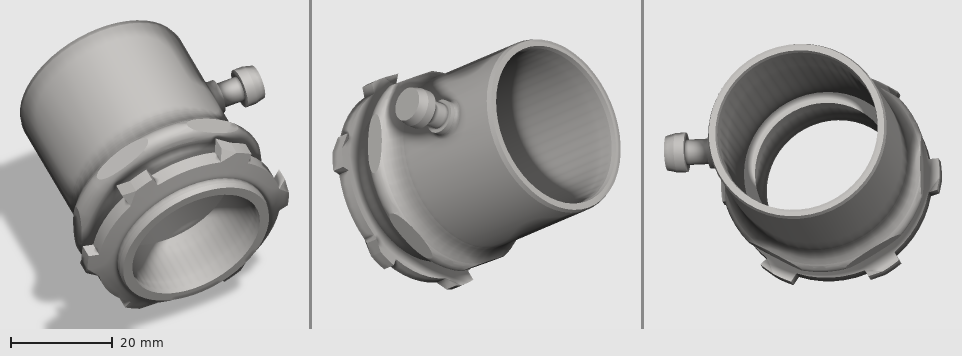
import cadquery as cq
import math


total_length = 44.5
sleeve_radius = 35.6 / 2
neck_radius = 32.2 / 2
bore_radius = 27.6 / 2
socket_radius = 32.0 / 2
end_chamfer_length = 1.0
end_chamfer_height = 0.3
mouth_chamfer_height = 0.2

bead_x = 31.15
bead_radius = 20.5
bead_round = 2.4
bead_across_flats = 39.0
flat_count = 6
flare_start_x = 24.75
flare_straight = 0.35
neck_fillet = 1.05
socket_depth = bead_x

nut_radius = 19.8
tooth_radius = 21.8
tooth_width = 6.8
tooth_count = 6
tooth_pitch_angle = 360 / tooth_count
nut_thickness = 2.78
nut_back_x = 42.2
dish_slope = 0.24
fold_start = 0.5
fold_height = 1.3

pin_x = 12.8
pin_tip_y = 28.1
pin_head_taper = 2.0
pin_head_length = 4.0
pin_collar_y = 19.5
pin_stem_radius = 5.0 / 2
pin_head_radius = 7.8 / 2
pin_collar_radius = 6.8 / 2
pin_fillet = 0.75


def point_on_arc(center, radius, degrees):
    angle = math.radians(degrees)
    return (center[0] + radius * math.cos(angle), center[1] + radius * math.sin(angle))


def revolve_about_x(profile):
    return profile.close().revolve(360, (0, 0, 0), (1, 0, 0))


def make_shell():
    """Solid outer form of the sleeve, the flare, the bead and the neck."""
    bead_center = (bead_x, bead_radius - bead_round)

    run = bead_x - flare_start_x
    drop = bead_center[1] - sleeve_radius
    reach_squared = run**2 + drop**2 - bead_round**2 - flare_straight**2
    flare_radius = reach_squared / (2 * (bead_round + drop))
    flare_center = (flare_start_x, sleeve_radius + flare_radius)
    center_line_angle = math.atan2(flare_center[1] - bead_center[1], -run)
    straight_angle = math.atan2(flare_straight, flare_radius + bead_round)
    tangent_angle = math.degrees(center_line_angle - straight_angle)
    flare_end_angle = tangent_angle - 180
    flare_middle = point_on_arc(flare_center, flare_radius, (flare_end_angle - 90) / 2)
    flare_end = point_on_arc(flare_center, flare_radius, flare_end_angle)
    bead_start = point_on_arc(bead_center, bead_round, tangent_angle)
    bead_middle = point_on_arc(bead_center, bead_round, tangent_angle / 2)
    bead_end = point_on_arc(bead_center, bead_round, 0)

    fillet_center = (bead_end[0] + neck_fillet, neck_radius + neck_fillet)
    fillet_middle = point_on_arc(fillet_center, neck_fillet, 225)

    profile = (
        cq.Workplane("XY")
        .lineTo(0, sleeve_radius - end_chamfer_height)
        .lineTo(end_chamfer_length, sleeve_radius)
        .lineTo(flare_start_x, sleeve_radius)
        .threePointArc(flare_middle, flare_end)
        .lineTo(*bead_start)
        .threePointArc(bead_middle, bead_end)
        .lineTo(bead_end[0], fillet_center[1])
        .threePointArc(fillet_middle, (fillet_center[0], neck_radius))
        .lineTo(total_length - end_chamfer_length, neck_radius)
        .lineTo(total_length, neck_radius - end_chamfer_height)
        .lineTo(total_length, 0)
    )
    return revolve_about_x(profile)


def make_wrench_flats():
    """Hexagonal bar with two of its flats facing +Y and -Y."""
    half_angle = 180 / flat_count
    corner_diameter = bead_across_flats / math.cos(math.radians(half_angle))
    bar = cq.Workplane("YZ").polygon(flat_count, corner_diameter).extrude(total_length)
    return bar.rotate((0, 0, 0), (1, 0, 0), half_angle)


def make_pin_collar():
    return cq.Workplane("XZ").center(pin_x, 0).circle(pin_collar_radius).extrude(-pin_collar_y)


def make_pin_shaft():
    """Stem with a tapered head."""
    head_bottom_y = pin_tip_y - pin_head_length
    return (
        cq.Workplane("XY")
        .moveTo(pin_x, socket_radius)
        .lineTo(pin_x + pin_stem_radius, socket_radius)
        .lineTo(pin_x + pin_stem_radius, head_bottom_y)
        .lineTo(pin_x + pin_head_radius, head_bottom_y)
        .lineTo(pin_x + pin_head_radius, pin_tip_y - pin_head_taper)
        .lineTo(pin_x + pin_collar_radius, pin_tip_y)
        .lineTo(pin_x, pin_tip_y)
        .close()
        .revolve(360, (pin_x, 0, 0), (pin_x, 1, 0))
    )


def add_pin(body):
    body = body.union(make_pin_collar())
    reach = pin_collar_radius + pin_fillet
    near_root = cq.selectors.BoxSelector(
        (pin_x - reach, bore_radius, -reach),
        (pin_x + reach, sleeve_radius + pin_fillet, reach),
        boundingbox=True,
    )
    return body.edges(near_root).fillet(pin_fillet).union(make_pin_shaft())


def make_bore():
    """Through bore with a wider socket at the sleeve end and a chamfered mouth."""
    profile = (
        cq.Workplane("XY")
        .lineTo(0, socket_radius + mouth_chamfer_height)
        .lineTo(end_chamfer_length, socket_radius)
        .lineTo(socket_depth, socket_radius)
        .lineTo(socket_depth, bore_radius)
        .lineTo(total_length, bore_radius)
        .lineTo(total_length, 0)
    )
    return revolve_about_x(profile)


def nut_front_x(radius):
    """X of the conical front face of the locknut at a given radius."""
    return nut_back_x - nut_thickness - dish_slope * (radius - neck_radius)


def make_dish(inner_radius, outer_radius):
    """Ring between two parallel cones, of constant thickness along X."""
    inner_x = nut_front_x(inner_radius)
    outer_x = nut_front_x(outer_radius)
    profile = (
        cq.Workplane("XY")
        .moveTo(inner_x, inner_radius)
        .lineTo(outer_x, outer_radius)
        .lineTo(outer_x + nut_thickness, outer_radius)
        .lineTo(inner_x + nut_thickness, inner_radius)
    )
    return revolve_about_x(profile)


def make_tooth_outline(side_z, root_y, fold_y):
    """Tooth on +Y without its bent corner, as a bar along X ending on the fold line."""
    blank_y = tooth_radius + nut_thickness
    fold_slope = (side_z - fold_start) / (root_y - fold_y)
    blank_z = fold_start + fold_slope * (blank_y - fold_y)
    return (
        cq.Workplane("YZ")
        .moveTo(neck_radius, -side_z)
        .lineTo(blank_y, -side_z)
        .lineTo(blank_y, blank_z)
        .lineTo(root_y, side_z)
        .lineTo(neck_radius, side_z)
        .close()
        .extrude(total_length)
    )


def make_bent_corner(side_z, root_y, fold_y):
    """Corner on the +Z side of the tooth: a tilted triangle swept along X."""
    tip_y = math.sqrt(tooth_radius**2 - side_z**2)
    triangle = cq.Wire.makePolygon(
        [
            cq.Vector(nut_front_x(tooth_radius), fold_y, fold_start),
            cq.Vector(nut_front_x(nut_radius), root_y, side_z),
            cq.Vector(nut_front_x(tooth_radius) - fold_height, tip_y, side_z),
        ],
        close=True,
    )
    return cq.Workplane(cq.Solid.extrudeLinear(triangle, [], cq.Vector(nut_thickness, 0, 0)))


def turn_to_tooth(shape, index):
    return shape.rotate((0, 0, 0), (1, 0, 0), index * tooth_pitch_angle)


def make_locknut():
    side_z = tooth_width / 2
    root_y = math.sqrt(nut_radius**2 - side_z**2)
    fold_y = math.sqrt(tooth_radius**2 - fold_start**2)

    outline = cq.Workplane("YZ").circle(nut_radius).extrude(total_length)
    tooth_outline = make_tooth_outline(side_z, root_y, fold_y)
    for index in range(tooth_count):
        outline = outline.union(turn_to_tooth(tooth_outline, index))

    nut = make_dish(bore_radius, tooth_radius).intersect(outline)
    bent_corner = make_bent_corner(side_z, root_y, fold_y)
    for index in range(tooth_count):
        nut = nut.union(turn_to_tooth(bent_corner, index))
    return nut


body = make_shell().intersect(make_wrench_flats())
body = add_pin(body)
body = body.union(make_locknut())
result = body.cut(make_bore())